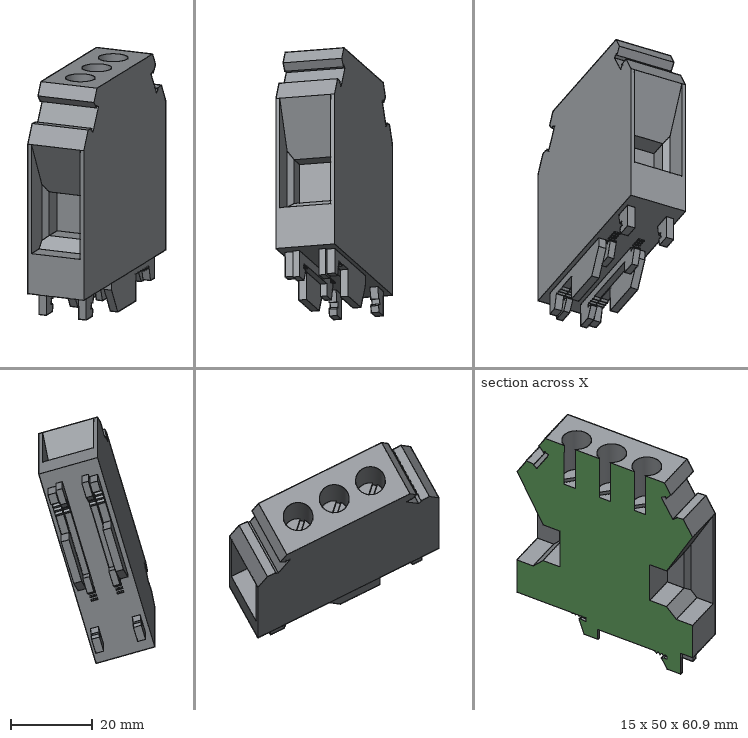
import cadquery as cq

WIDTH = 15.0
LENGTH = 50.0
HEIGHT = 60.9
BODY_BOTTOM = 9.1
SHOULDER_Z = 47.1
HALF_LENGTH = LENGTH / 2

HEAD_HALF_LENGTH = 17.0
GROOVE_OUTLINE = [
    (18.8, 57.75),
    (17.35, 55.95),
    (17.2, 56.5),
    (16.1, 55.95),
    (19.35, 50.4),
    (20.3, 51.15),
    (20.05, 51.45),
    (22.35, 51.65),
]

WELL_DIAMETER = 7.25
WELL_PITCH = 10.0
WELL_DEPTH = 12.2
SLOT_WIDTH = 1.15
SLOT_DEPTH = 1.2
SLOT_ANGLE = -45.0

FUNNEL_WIDTH = 13.0
FUNNEL_FLOOR = 19.35
FLOOR_RAMP_START = 4.6
SIDE_TAPER_START = 6.35
PASSAGE_START = 7.4
PASSAGE_WIDTH = 10.05
PASSAGE_FLOOR = 22.2
PASSAGE_CEILING = 33.3
PASSAGE_END = 12.2

OUTER_PLATE_X = 4.3
OUTER_PLATE_THICKNESS = 2.0
INNER_PLATE_X = 2.5
INNER_PLATE_THICKNESS = 1.65
FOOT_END = 20.9
FOOT_BOTTOM = 2.85
REAR_CLAW_END = 21.55
REAR_CLAW_BOTTOM = 2.5
FRONT_CLAW_BOTTOM = 3.7
WEB_BOTTOM = 6.8
TOOTH_COUNT = 3
TOOTH_PITCH = 1.05
TOOTH_DEPTH = 0.6
REAR_TEETH_START = 17.25
FRONT_TOOTH_COUNT = 4
FRONT_TOOTH_PITCH = 1.0
FIRST_FRONT_TOOTH_Y = -6.4
FRONT_TOOTH_DEPTH = 0.25
FRONT_TOOTH_WIDTH = 0.5

REAR_FOOT = [
    (FOOT_END, BODY_BOTTOM),
    (FOOT_END, FOOT_BOTTOM),
    (18.35, FOOT_BOTTOM),
    (17.5, 6.3),
]

CENTRE_KEEL = [
    (9.3, WEB_BOTTOM),
    (9.3, 0),
    (-1.65, 0),
    (-5.4, 6.5),
    (-5.4, BODY_BOTTOM),
]

FRONT_FOOT = [
    (-FOOT_END, BODY_BOTTOM),
    (-FOOT_END, FOOT_BOTTOM),
    (-17.2, FOOT_BOTTOM),
    (-16.75, 4.45),
    (-17.2, 4.95),
    (-17.85, 4.95),
    (-17.6, 6.35),
    (-16.75, 6.15),
    (-16.15, BODY_BOTTOM),
]

REAR_CLAW = [
    (REAR_CLAW_END, BODY_BOTTOM),
    (REAR_CLAW_END, REAR_CLAW_BOTTOM),
    (17.7, REAR_CLAW_BOTTOM),
    (16.0, 5.35),
    (16.15, 5.6),
    (16.85, 5.8),
    (17.6, 5.7),
    (17.6, 6.35),
]

FRONT_CLAW = [
    (-2.0, WEB_BOTTOM),
    (-2.0, FRONT_CLAW_BOTTOM),
    (-5.95, FRONT_CLAW_BOTTOM),
    (-7.3, 7.7),
    (-7.3, 8.1),
    (-6.9, 8.3),
    (-5.4, 8.05),
    (-5.4, BODY_BOTTOM),
]


def side_plate(outline, start_x, thickness):
    """Plate with a (Y, Z) outline, running from start_x toward +X."""
    return cq.Workplane("YZ").workplane(offset=start_x).polyline(outline).close().extrude(thickness)


def mirrored_pair(plate):
    """The plate together with its mirror image across X = 0."""
    return plate.union(plate.mirror("YZ"))


def housing():
    half = [(HEAD_HALF_LENGTH, HEIGHT)]
    half += GROOVE_OUTLINE
    half += [(HALF_LENGTH, SHOULDER_Z), (HALF_LENGTH, BODY_BOTTOM)]
    other_half = [(-y, z) for y, z in reversed(half)]
    return side_plate(half + other_half, -WIDTH / 2, WIDTH)


def screw_well(y):
    """Round well with a slotted screw head at its bottom."""
    floor_z = HEIGHT - WELL_DEPTH
    well = cq.Workplane("XY", origin=(0, y, floor_z)).circle(WELL_DIAMETER / 2).extrude(WELL_DEPTH)
    slot_disc = cq.Workplane("XY", origin=(0, y, floor_z)).circle(WELL_DIAMETER / 2).extrude(-SLOT_DEPTH)
    slot_bar = (
        cq.Workplane("XY", origin=(0, y, floor_z))
        .transformed(rotate=(0, 0, SLOT_ANGLE))
        .rect(WELL_DIAMETER, SLOT_WIDTH)
        .extrude(-SLOT_DEPTH)
    )
    return well.union(slot_bar.intersect(slot_disc))


def wire_entry():
    """Cavity at the -Y end: where its side outline and its plan outline overlap."""
    side = [
        (0, FUNNEL_FLOOR),
        (FLOOR_RAMP_START, FUNNEL_FLOOR),
        (PASSAGE_START, PASSAGE_FLOOR),
        (PASSAGE_END, PASSAGE_FLOOR),
        (PASSAGE_END, PASSAGE_CEILING),
        (PASSAGE_START, PASSAGE_CEILING),
        (0, SHOULDER_Z),
    ]
    plan_half = [
        (FUNNEL_WIDTH / 2, 0),
        (FUNNEL_WIDTH / 2, SIDE_TAPER_START),
        (PASSAGE_WIDTH / 2, PASSAGE_START),
        (PASSAGE_WIDTH / 2, PASSAGE_END),
    ]
    plan = plan_half + [(-x, depth) for x, depth in reversed(plan_half)]
    side_prism = side_plate(side, -FUNNEL_WIDTH / 2, FUNNEL_WIDTH)
    plan_prism = cq.Workplane("XY").polyline(plan).close().extrude(HEIGHT)
    return side_prism.intersect(plan_prism).translate((0, -HALF_LENGTH, 0))


def rear_teeth():
    """Zigzag points of the teeth ahead of the rear foot and rear claw, ending on the web."""
    points = [(REAR_TEETH_START, WEB_BOTTOM)]
    for index in range(TOOTH_COUNT):
        start_y = REAR_TEETH_START - index * TOOTH_PITCH
        points.append((start_y - TOOTH_PITCH / 2, WEB_BOTTOM - TOOTH_DEPTH))
        points.append((start_y - TOOTH_PITCH, WEB_BOTTOM))
    return points


def front_tooth(tip_y):
    """Small wedge under the housing, ahead of the front claw."""
    outline = [
        (tip_y - FRONT_TOOTH_WIDTH / 2, BODY_BOTTOM),
        (tip_y, BODY_BOTTOM - FRONT_TOOTH_DEPTH),
        (tip_y + FRONT_TOOTH_WIDTH / 2, BODY_BOTTOM),
    ]
    return side_plate(outline, INNER_PLATE_X, INNER_PLATE_THICKNESS)


result = housing()

for step in (-1, 0, 1):
    result = result.cut(screw_well(step * WELL_PITCH))

entry = wire_entry()
result = result.cut(entry).cut(entry.mirror("XZ"))

outer_rear_outline = REAR_FOOT + rear_teeth() + CENTRE_KEEL
for foot_outline in (outer_rear_outline, FRONT_FOOT):
    foot = side_plate(foot_outline, OUTER_PLATE_X, OUTER_PLATE_THICKNESS)
    result = result.union(mirrored_pair(foot))

claw_outline = REAR_CLAW + rear_teeth() + FRONT_CLAW
claws = side_plate(claw_outline, INNER_PLATE_X, INNER_PLATE_THICKNESS)
result = result.union(mirrored_pair(claws))

for index in range(FRONT_TOOTH_COUNT):
    tooth = front_tooth(FIRST_FRONT_TOOTH_Y - index * FRONT_TOOTH_PITCH)
    result = result.union(mirrored_pair(tooth))